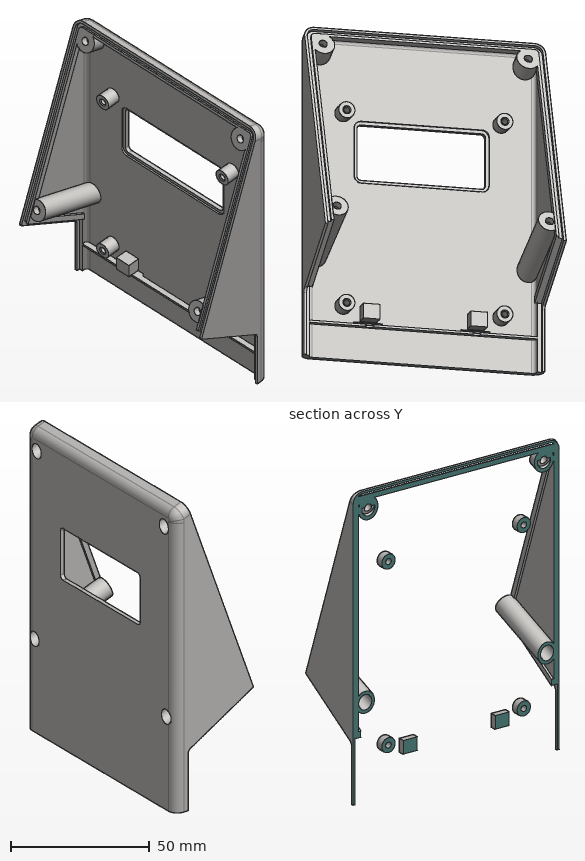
import math

import cadquery as cq

WIDTH = 90.0
DEPTH = 35.34
HEIGHT = 122.5

TILT = 20.0
END_ANGLE = 30.0
TOP_DEPTH = 5.7
FOOT_DEPTH = 6.0
FOOT_FILLET = 2.0

WALL = 2.5
OUTER_RADIUS = 4.0
INNER_RADIUS = OUTER_RADIUS - WALL
MIN_CORNER_RADIUS = 1.0

RIM_EDGE = 1.0
GROOVE_DEPTH = 1.25
GROOVE_FOOT_DEPTH = FOOT_DEPTH - GROOVE_DEPTH
END_STEP = 2.0
LIP_WIDTH = 1.0
LIP_DROP = 0.25
LIP_BAND = 2.2

CORNER_BOSS = (38.3, 116.1)
SIDE_BOSS = (39.65, 49.15)
CORNER_BOSS_DIAMETER = 8.6
SIDE_BOSS_DIAMETER = 8.25
SIDE_BOSS_DROP = 0.6
SCREW_DIAMETER = 3.0
SCREW_HEAD_DIAMETER = 5.5
SCREW_SEAT = 2.75

WINDOW_WIDTH = 48.0
WINDOW_HEIGHT = 20.7
WINDOW_BOTTOM = 67.7
WINDOW_RADIUS = 1.5
WINDOW_STEP = 1.2
WINDOW_STEP_DEPTH = 0.75

POST_X = 29.5
POST_Z = (19.9, 91.9)
POST_DIAMETER = 6.0
POST_TOP = 8.0
POST_HOLE = 2.22
POST_MOUTH = 3.0
POST_CSK_ANGLE = 90.0

RIB_BOTTOM = 12.4
RIB_THICKNESS = 0.8
BLOCK_X = 20.05
BLOCK_WIDTH = 6.2
BLOCK_BOTTOM = 14.7
BLOCK_HEIGHT = 5.5
BLOCK_TOP = 7.5
RECESS_WIDTH = 10.7
RECESS_TOP = 14.4
RECESS_DEPTH = 1.5
NOTCH_DIAMETER = 3.0
RIB_ROOT = 0.5

CLEAR = 20.0

SIN_T = math.sin(math.radians(TILT))
COS_T = math.cos(math.radians(TILT))
TAN_T = math.tan(math.radians(TILT))
COS_E = math.cos(math.radians(END_ANGLE))
TAN_E = math.tan(math.radians(END_ANGLE))
TIP_Y = -DEPTH
TIP_Z = HEIGHT - (DEPTH - TOP_DEPTH) / TAN_T


def rim_y(z, inset=0.0):
    """Y at height z of the rim plane, moved inward by inset."""
    return TIP_Y + (z - TIP_Z) * TAN_T + inset / COS_T


def top_z(y, inset=0.0):
    """Z at depth y of the sloping top, which is square to the rim plane, moved inward by inset."""
    return HEIGHT - (TOP_DEPTH + y) * TAN_T - inset / COS_T


def end_z(y, inset=0.0):
    """Z at depth y of the lower end of the side walls, moved inward by inset."""
    return TIP_Z - (y - TIP_Y) * TAN_E + inset / COS_E


def front_outline(rim_inset, end_inset, foot_y):
    """Front edge as (y, z) from above the top down past the bottom, its stretches moved inward."""
    above = HEIGHT + CLEAR
    rim_at_zero = rim_y(0, rim_inset)
    tip_z = end_z(rim_at_zero, end_inset) / (1 + TAN_T * TAN_E)
    return [
        (rim_y(above, rim_inset), above),
        (rim_y(tip_z, rim_inset), tip_z),
        (foot_y, end_z(foot_y, end_inset)),
        (foot_y, -CLEAR),
    ]


def prism(points, half_width):
    """Solid across X with the given (y, z) outline."""
    return cq.Workplane("YZ").polyline(points).close().extrude(half_width, both=True)


def behind(outline):
    """Everything on the back side of a front outline."""
    back = [(2 * CLEAR, -CLEAR), (2 * CLEAR, HEIGHT + CLEAR)]
    return prism(outline + back, WIDTH)


def envelope(inset, back_y, back_radius=0.0):
    """Space between the side walls and under the sloping top, inset from the outside.

    It stays open below and toward the front; its corners, and if asked its back edges, are rounded.
    """
    front_y = -DEPTH - CLEAR
    points = [
        (back_y, -CLEAR),
        (back_y, top_z(back_y, inset)),
        (front_y, top_z(front_y, inset)),
        (front_y, -CLEAR),
    ]
    corner_radius = max(OUTER_RADIUS - inset, MIN_CORNER_RADIUS)
    top_direction = cq.Vector(0, -COS_T, SIN_T)
    body = prism(points, WIDTH / 2 - inset)
    body = body.edges(cq.selectors.ParallelDirSelector(top_direction)).fillet(corner_radius)
    if back_radius:
        body = body.faces(">Y").edges("not <Z").fillet(back_radius)
    return body


def shell():
    """Outer body with the cavity taken out; the cavity runs out through the bottom."""
    corner = (0, -FOOT_DEPTH, end_z(-FOOT_DEPTH))
    front = behind(front_outline(0, 0, -FOOT_DEPTH))
    front = front.edges(cq.selectors.NearestToPointSelector(corner)).fillet(FOOT_FILLET)
    outside = envelope(0, 0, OUTER_RADIUS).intersect(front)
    return outside.cut(envelope(WALL, -WALL, INNER_RADIUS))


def rim_groove():
    """Material taken off the wall edge inside its outer skin."""
    kept = behind(front_outline(GROOVE_DEPTH, END_STEP, -GROOVE_FOOT_DEPTH))
    return envelope(RIM_EDGE, CLEAR).cut(kept)


def rim_lip():
    """Thin band inside the wall that follows the rim plane and the lower end of the sides."""
    front = behind(front_outline(LIP_DROP, END_STEP, -GROOVE_FOOT_DEPTH))
    back = behind(front_outline(LIP_DROP + LIP_BAND, END_STEP + LIP_BAND, -GROOVE_FOOT_DEPTH))
    ring = envelope(WALL, -WALL, INNER_RADIUS).cut(envelope(WALL + LIP_WIDTH, CLEAR))
    return ring.intersect(front).cut(back)


def boss_cylinder(x, z, drop, diameter):
    """Cylinder square to the rim plane that starts at depth drop below it and leaves at the back."""
    axis_plane = cq.Plane(origin=(x, rim_y(z), z), xDir=(1, 0, 0), normal=(0, COS_T, -SIN_T))
    return cq.Workplane(axis_plane).workplane(offset=drop).circle(diameter / 2).extrude(2 * DEPTH)


def add_screw_boss(body, x, z, drop, diameter):
    """Boss with a screw hole; the wide bore for the screw head comes in from the back."""
    boss = boss_cylinder(x, z, drop, diameter).intersect(envelope(WALL, -WALL, INNER_RADIUS))
    body = body.union(boss)
    body = body.cut(boss_cylinder(x, z, drop, SCREW_DIAMETER))
    return body.cut(boss_cylinder(x, z, drop + SCREW_SEAT, SCREW_HEAD_DIAMETER))


def rounded_opening(width, height, radius, depth):
    """Rounded block reaching from the inner face of the floor into it by depth."""
    center_z = WINDOW_BOTTOM + WINDOW_HEIGHT / 2
    return (
        cq.Workplane("XZ", origin=(0, -WALL, center_z))
        .rect(width, height)
        .extrude(-depth)
        .edges("|Y")
        .fillet(radius)
    )


def window():
    """Opening through the floor with a shallow step around it on the inner face."""
    opening = rounded_opening(WINDOW_WIDTH, WINDOW_HEIGHT, WINDOW_RADIUS, WALL)
    step = rounded_opening(
        WINDOW_WIDTH + 2 * WINDOW_STEP,
        WINDOW_HEIGHT + 2 * WINDOW_STEP,
        WINDOW_RADIUS + WINDOW_STEP,
        WINDOW_STEP_DEPTH,
    )
    return opening.union(step)


def post(x, z):
    """Board post with a blind screw hole, countersunk at its mouth."""
    return (
        cq.Workplane("XZ", origin=(x, -WALL, z))
        .circle(POST_DIAMETER / 2)
        .extrude(POST_TOP - WALL)
        .faces("<Y")
        .workplane()
        .cskHole(POST_HOLE, POST_MOUTH, POST_CSK_ANGLE, POST_TOP - WALL)
    )


def box(x, z_bottom, width, height, y_back, y_front):
    """Block centred on x that stands on z_bottom."""
    size = (width, y_back - y_front, height)
    center = (x, (y_back + y_front) / 2, z_bottom + height / 2)
    return cq.Workplane("XY").box(*size).translate(center)


def cross_rib():
    """Low rib across the floor from wall to wall."""
    return box(0, RIB_BOTTOM, WIDTH - 2 * WALL, RIB_THICKNESS, -WALL + RIB_ROOT, -GROOVE_FOOT_DEPTH)


def rib_notch(x):
    """Half-round notch in the front of the rib."""
    return (
        cq.Workplane("XY", origin=(x, -GROOVE_FOOT_DEPTH, RIB_BOTTOM))
        .circle(NOTCH_DIAMETER / 2)
        .extrude(RIB_THICKNESS)
    )


def add_block(body, x):
    """Block on the floor above the rib, with a floor recess and a rib notch below it."""
    rib_top = RIB_BOTTOM + RIB_THICKNESS
    recess = box(x, rib_top, RECESS_WIDTH, RECESS_TOP - rib_top, RECESS_DEPTH - WALL, -WALL)
    block = box(x, BLOCK_BOTTOM, BLOCK_WIDTH, BLOCK_HEIGHT, -WALL, -BLOCK_TOP)
    return body.cut(recess).cut(rib_notch(x)).union(block)


def below_bottom():
    """Everything under Z = 0."""
    return box(0, -2 * CLEAR, 2 * WIDTH, 2 * CLEAR, CLEAR, -2 * DEPTH)


corner_x, corner_z = CORNER_BOSS
side_x, side_z = SIDE_BOSS

result = shell().cut(rim_groove()).union(rim_lip())
result = result.cut(window()).union(cross_rib())
for side in (-1, 1):
    result = add_screw_boss(result, side * corner_x, corner_z, LIP_DROP, CORNER_BOSS_DIAMETER)
    result = add_screw_boss(result, side * side_x, side_z, SIDE_BOSS_DROP, SIDE_BOSS_DIAMETER)
    result = add_block(result, side * BLOCK_X)
    for post_z in POST_Z:
        result = result.union(post(side * POST_X, post_z))
result = result.cut(below_bottom())